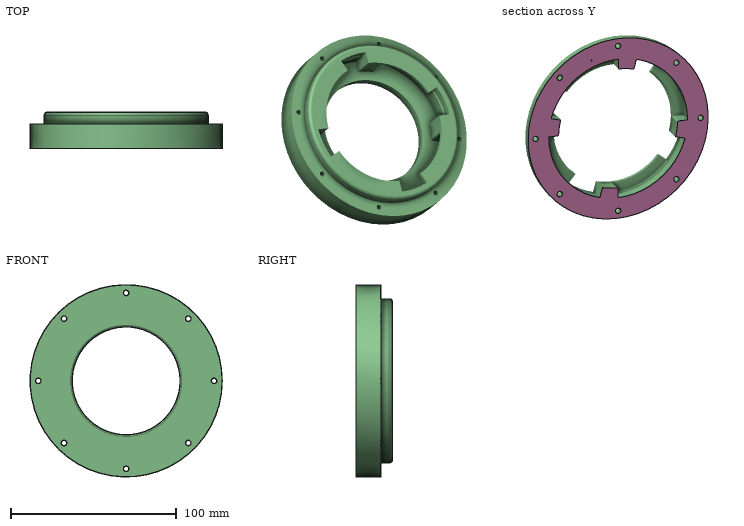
import cadquery as cq
import math

outer_radius = 58.0
flange_thickness = 15.0
boss_radius = 49.5
total_depth = 22.0
boss_fillet = 2.0

front_bore_radius = 32.5
front_lip_depth = 6.5
edge_fillet = 1.0

screw_count = 8
screw_circle_radius = 53.0
screw_hole_diameter = 3.1

bayonet_count = 4
bayonet_pitch = 360 / bayonet_count
tab_span = 51.0
stop_span = 15.5
gap_span = bayonet_pitch - tab_span - stop_span
tab_radius = 38.0
tab_thickness = 2.1
tab_front = total_depth - tab_thickness

cavity_radius = 44.4
groove_radius = 45.0
taper_start = 16.2
taper_end = 16.9


def disc(radius, start, end):
    """Solid cylinder about the Y axis between two axial positions."""
    return cq.Workplane("XZ", origin=(0, start, 0)).circle(radius).extrude(start - end)


def sector(outline, first_angle, span):
    """Revolve a (radius, Y) outline about the Y axis; angles turn from +X towards +Z."""
    wedge = outline.close().revolve(span, (0, 0), (0, 1))
    return wedge.rotate((0, 0, 0), (0, 1, 0), -first_angle - span)


def cavity_sector(end, first_angle, span):
    """Part of the cavity from the front lip to Y = end."""
    outline = cq.Workplane("XY").polyline([
        (0, front_lip_depth),
        (cavity_radius, front_lip_depth),
        (cavity_radius, taper_start),
        (groove_radius, taper_end),
        (groove_radius, end),
        (0, end),
    ])
    return sector(outline, first_angle, span)


def stop_rounding():
    """Cutter that rounds the inner edge of the stop block ending at angle zero."""
    center_distance = tab_radius + edge_fillet
    center_x = math.sqrt(center_distance**2 - edge_fillet**2)
    bore_tangent = (center_x * tab_radius / center_distance, -edge_fillet * tab_radius / center_distance)
    return (
        cq.Workplane("XZ", origin=(0, front_lip_depth, 0))
        .lineTo(center_x, 0)
        .radiusArc(bore_tangent, -edge_fillet)
        .close()
        .extrude(front_lip_depth - tab_front)
    )


def tab_rounding():
    """Cutter that rounds the inner front edge of the tab starting at angle zero."""
    outline = (
        cq.Workplane("XY")
        .moveTo(0, tab_front)
        .lineTo(tab_radius + edge_fillet, tab_front)
        .radiusArc((tab_radius, tab_front + edge_fillet), -edge_fillet)
        .lineTo(0, tab_front + edge_fillet)
    )
    return sector(outline, 0, tab_span)


def bayonet_cutter():
    """Space in front of one tab, joined to the open entry gap beside it."""
    tab_space = cavity_sector(tab_front, 0, tab_span + gap_span)
    tab_space = tab_space.faces(">Y").edges("%CIRCLE").fillet(edge_fillet)
    entry_gap = cavity_sector(total_depth, tab_span, gap_span)
    return tab_space.union(entry_gap).union(stop_rounding())


flange = disc(outer_radius, 0, flange_thickness)
boss = disc(boss_radius, 0, total_depth).faces(">Y").edges().fillet(boss_fillet)
result = flange.union(boss)

result = result.cut(disc(front_bore_radius, 0, total_depth))
result = result.faces("<Y").edges(cq.selectors.RadiusNthSelector(0)).fillet(edge_fillet)
result = result.cut(disc(tab_radius, front_lip_depth, total_depth))

cutter = bayonet_cutter()
for index in range(bayonet_count):
    result = result.cut(cutter.rotate((0, 0, 0), (0, 1, 0), index * bayonet_pitch))
result = result.cut(tab_rounding())

screw_holes = (
    cq.Workplane("XZ")
    .polarArray(screw_circle_radius, 0, 360, screw_count)
    .circle(screw_hole_diameter / 2)
    .extrude(-flange_thickness)
)
result = result.cut(screw_holes)